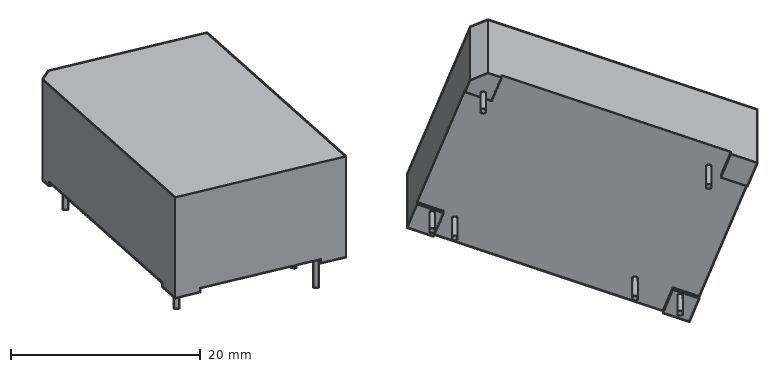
import cadquery as cq

length = 31.8
width = 20.3
total_height = 15.8
case_height = 12.0
corner_chamfer = 1.45
foot_size = 3.0
standoff = 0.48

pin_diameter = 0.6
pin_length = total_height - case_height
first_pin_x = 1.88
row_spacing = 15.23
pin_pitch = row_spacing / 6
front_row_y = (width - row_spacing) / 2
back_row_y = front_row_y + row_spacing
front_row_slots = (0, 10)
back_row_slots = (0, 1, 9, 11)


def make_case():
    """Potted block with one chamfered corner and four corner feet."""
    block = cq.Workplane("XY").box(length, width, case_height, centered=False)
    block = block.edges("|Z and <X and <Y").chamfer(corner_chamfer)
    channel_along_y = (
        cq.Workplane("XY")
        .box(length - 2 * foot_size, width, standoff, centered=False)
        .translate((foot_size, 0, 0))
    )
    channel_along_x = (
        cq.Workplane("XY")
        .box(length, width - 2 * foot_size, standoff, centered=False)
        .translate((0, foot_size, 0))
    )
    return block.cut(channel_along_y).cut(channel_along_x)


def make_pin_row(row_y, slots):
    """Round pins hanging below the feet and rooted in the underside."""
    centres = [(first_pin_x + slot * pin_pitch, row_y) for slot in slots]
    return (
        cq.Workplane("XY")
        .workplane(offset=-pin_length)
        .pushPoints(centres)
        .circle(pin_diameter / 2)
        .extrude(pin_length + 2 * standoff)
    )


result = (
    make_case()
    .union(make_pin_row(front_row_y, front_row_slots))
    .union(make_pin_row(back_row_y, back_row_slots))
)